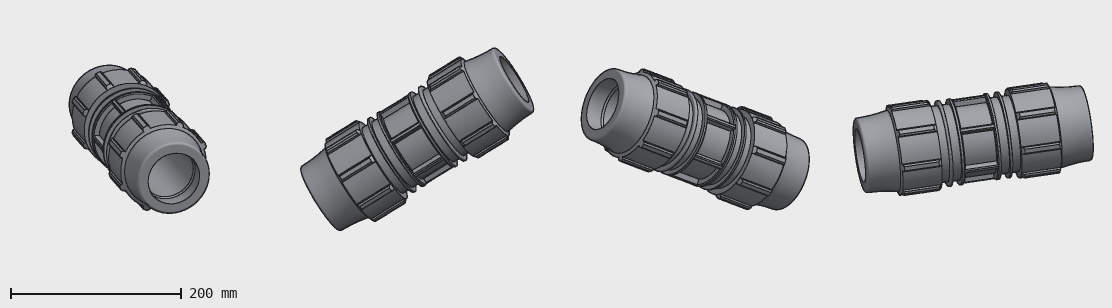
import cadquery as cq
overall_length = 270.0
half_length = overall_length / 2
bore_radius = 63.0 / 2
body_radius = 90.4 / 2

nose_edge_radius = 44.3
nose_edge_fillet = 3.0
nose_base_radius = 48.3

nut_outer_x = 96.4
nut_inner_x = 47.6
nut_radius = 52.5
outer_bevel_slope = 4.0 / 9.0
inner_bevel_slope = 0.9
grip_count = 8
grip_top_radius = 56.46
grip_width = 8.9
grip_bevel = 1.85
envelope_clearance = 1.0

flare_depth = 22.0
flare_radius = bore_radius + 1.5
lead_in_length = 2.5

ring_radius = 101.7 / 2
ring_outer_x = 37.2
ring_inner_x = 34.1
ring_fillet = 1.5

collar_half_length = 23.3
flange_thickness = 4.0
collar_rib_count = 6
collar_rib_width = 5.8
pocket_floor_radius = 43.0
pocket_bevel = 1.3


def revolve_about_x(profile):
    """Turn a closed (x, radius) profile about the X axis."""
    return profile.close().revolve(360, (0, 0, 0), (1, 0, 0))


def tube(start_x, end_x, radius):
    """Solid cylinder along X."""
    return cq.Workplane("YZ", origin=(start_x, 0, 0)).circle(radius).extrude(end_x - start_x)


def bevelled_bar(start_x, end_x, top_radius, width, bevel):
    """Bar from the axis out to top_radius along Y, with both long top edges bevelled."""
    return (
        cq.Workplane("XY", origin=(start_x, 0, 0))
        .box(end_x - start_x, top_radius, width, centered=(False, False, True))
        .faces(">Y")
        .edges("|X")
        .chamfer(bevel)
    )


def turned(shape, angle):
    """Rotate a shape about the X axis."""
    return shape.rotate((0, 0, 0), (1, 0, 0), angle)


def make_nose():
    """Nose with a rounded end edge and a gently curved taper up to the barrel."""
    flat_radius = nose_edge_radius - nose_edge_fillet
    return revolve_about_x(
        cq.Workplane("XY")
        .moveTo(nut_outer_x, 0)
        .lineTo(half_length, 0)
        .lineTo(half_length, flat_radius)
        .radiusArc((half_length - nose_edge_fillet, nose_edge_radius), -nose_edge_fillet)
        .tangentArcPoint((nut_outer_x, nose_base_radius), relative=False)
    )


def make_grip_section():
    """Nut barrel with bevelled lengthwise grips, sloped at both ends."""
    grip = bevelled_bar(nut_inner_x, nut_outer_x, grip_top_radius, grip_width, grip_bevel)
    barrel = tube(nut_inner_x, nut_outer_x, nut_radius)
    for index in range(grip_count):
        barrel = barrel.union(turned(grip, (index + 0.5) * 360 / grip_count))
    envelope_radius = grip_top_radius + envelope_clearance
    outer_run = (envelope_radius - nose_base_radius) * outer_bevel_slope
    inner_run = (envelope_radius - nut_radius) * inner_bevel_slope
    envelope = revolve_about_x(
        cq.Workplane("XY")
        .moveTo(nut_inner_x, 0)
        .lineTo(nut_outer_x, 0)
        .lineTo(nut_outer_x, nose_base_radius)
        .lineTo(nut_outer_x - outer_run, envelope_radius)
        .lineTo(nut_inner_x + inner_run, envelope_radius)
        .lineTo(nut_inner_x, nut_radius)
    )
    return barrel.intersect(envelope)


def make_stop_ring():
    """Thin ring with its edge towards the nut rounded."""
    return tube(ring_inner_x, ring_outer_x, ring_radius).faces(">X").edges().fillet(ring_fillet)


def make_collar():
    """Spool with two flanges joined by lengthwise ribs, all with bevelled pocket edges."""
    floor_edge_x = collar_half_length - flange_thickness
    bevel_base_radius = ring_radius - pocket_bevel
    flange = revolve_about_x(
        cq.Workplane("XY")
        .moveTo(floor_edge_x, 0)
        .lineTo(floor_edge_x, bevel_base_radius)
        .lineTo(floor_edge_x + pocket_bevel, ring_radius)
        .lineTo(collar_half_length, ring_radius)
        .lineTo(collar_half_length, 0)
    )
    rib = bevelled_bar(-floor_edge_x - pocket_bevel, floor_edge_x + pocket_bevel,
                       ring_radius, collar_rib_width, pocket_bevel)
    collar = tube(-collar_half_length, collar_half_length, pocket_floor_radius)
    collar = collar.union(flange).union(flange.mirror("YZ"))
    for index in range(collar_rib_count):
        collar = collar.union(turned(rib, index * 360 / collar_rib_count))
    return collar


def make_mouth():
    """Cutter for the flared mouth and the lead-in cone behind it."""
    flare_end = half_length - flare_depth
    return revolve_about_x(
        cq.Workplane("XY")
        .moveTo(half_length, 0)
        .lineTo(half_length, bore_radius)
        .lineTo(flare_end, flare_radius)
        .lineTo(flare_end - lead_in_length, bore_radius)
        .lineTo(flare_end - lead_in_length, 0)
    )


body_side = tube(collar_half_length, nut_inner_x, body_radius)
side = body_side.union(make_stop_ring()).union(make_grip_section()).union(make_nose())
mouth = make_mouth()
result = make_collar().union(side).union(side.mirror("YZ"))
result = result.cut(tube(-half_length, half_length, bore_radius))
result = result.cut(mouth).cut(mouth.mirror("YZ"))